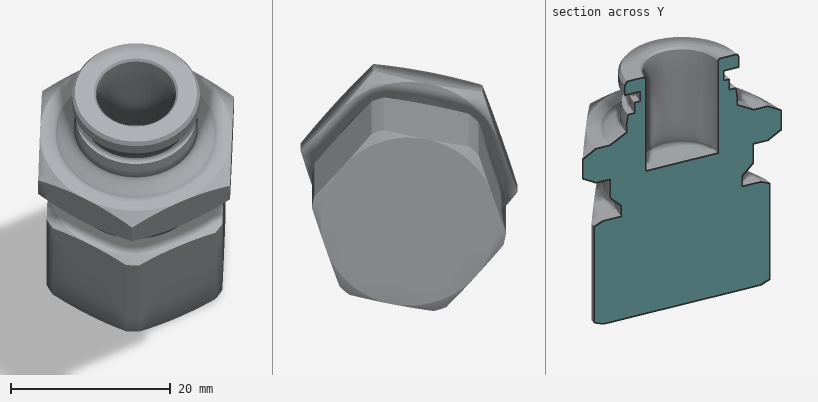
import cadquery as cq
import math

total_height = 34.3
body_height = 15.0
waist_top = 16.45
taper_top = 17.97
nut_bottom = 20.7
nut_height = 5.0
nut_top = nut_bottom + nut_height
cone_top = 26.93
collar_band_top = 27.95
collar_top = 29.45
sleeve_top = 30.97
flange_bottom = 32.3

waist_radius = 8.47
barrel_radius = 10.0
collar_radius = 7.75
collar_top_radius = 7.55
sleeve_radius = 6.65
neck_radius = 5.83
flange_radius = 8.0
flange_chamfer_width = 0.35
flange_chamfer_height = 0.48

body_across_flats = 22.0
body_corner_radius = 12.25
body_chamfer_height = 0.5
nut_across_flats = 24.0
nut_chamfer_angle = 30.0

socket_radius = 5.0
socket_chamfer = 0.27
socket_floor = nut_bottom


def revolve_profile(points):
    """Solid of revolution about Z from (radius, height) points."""
    return cq.Workplane("XZ").polyline(points).close().revolve(360, (0, 0), (0, 1))


def chamfered_hexagon(across_flats, corner_radius, bottom, height, chamfer_height):
    """Hexagon with corners on X, trimmed by a turned blank with both ends chamfered.

    The chamfers start on the circle that touches the flats and reach corner_radius.
    """
    top = bottom + height
    flat_radius = across_flats / 2
    corner_diameter = across_flats / math.cos(math.pi / 6)
    prism = cq.Workplane("XY", origin=(0, 0, bottom)).polygon(6, corner_diameter).extrude(height)
    blank = revolve_profile([
        (0, bottom),
        (flat_radius, bottom),
        (corner_radius, bottom + chamfer_height),
        (corner_radius, top - chamfer_height),
        (flat_radius, top),
        (0, top),
    ])
    return prism.intersect(blank)


def make_body():
    return chamfered_hexagon(body_across_flats, body_corner_radius, 0, body_height, body_chamfer_height)


def make_nut():
    corner_clearance = 0.17
    corner_radius = nut_across_flats / 2 / math.cos(math.pi / 6) + corner_clearance
    chamfer_width = corner_radius - nut_across_flats / 2
    chamfer_height = chamfer_width * math.tan(math.radians(nut_chamfer_angle))
    return chamfered_hexagon(nut_across_flats, corner_radius, nut_bottom, nut_height, chamfer_height)


def make_core():
    """Turned core, running from inside the body up to the release flange."""
    core_bottom = body_height / 2
    return revolve_profile([
        (0, core_bottom),
        (waist_radius, core_bottom),
        (waist_radius, waist_top),
        (barrel_radius, taper_top),
        (barrel_radius, nut_top),
        (collar_radius, cone_top),
        (collar_radius, collar_band_top),
        (collar_top_radius, collar_top),
        (sleeve_radius, collar_top),
        (sleeve_radius, sleeve_top),
        (neck_radius, sleeve_top),
        (neck_radius, flange_bottom),
        (flange_radius, flange_bottom),
        (flange_radius, total_height - flange_chamfer_height),
        (flange_radius - flange_chamfer_width, total_height),
        (0, total_height),
    ])


def make_socket():
    """Tube socket with a chamfered mouth."""
    return revolve_profile([
        (0, socket_floor),
        (socket_radius, socket_floor),
        (socket_radius, total_height - socket_chamfer),
        (socket_radius + socket_chamfer, total_height),
        (0, total_height),
    ])


result = make_body().union(make_core()).union(make_nut()).cut(make_socket())